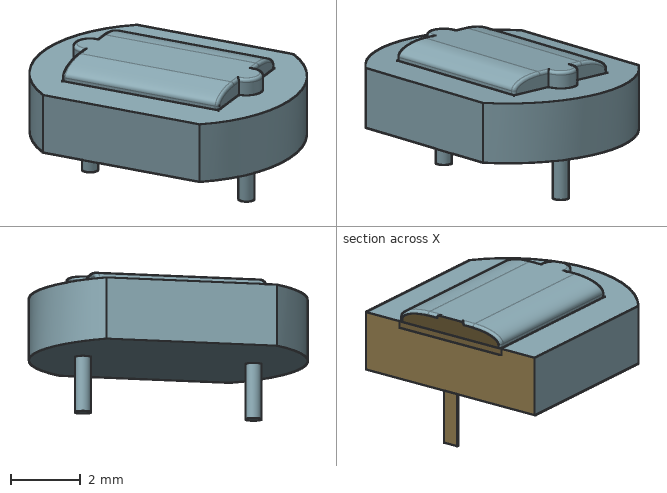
import cadquery as cq

housing_length = 8.0
housing_width = 6.0
housing_height = 1.78
flat_length = 5.0

cap_length = flat_length
cap_width = 3.6
cap_height = 0.5
crown_flat_width = 1.6
crown_drop = 0.39
lobe_radius = 0.475
cap_fillet = 0.1

seat_depth = 0.2

pin_diameter = 0.47
pin_length = 1.6
pin_spacing = flat_length

tolerance = 0.001

cap_top = housing_height + cap_height
seat_bottom = housing_height - seat_depth
pin_places = [(-pin_spacing / 2, 0), (pin_spacing / 2, 0)]


def lobes(bottom, top):
    """Round lobes centred on the two ends of the cap."""
    return (
        cq.Workplane("XY", origin=(0, 0, bottom))
        .pushPoints([(-cap_length / 2, 0), (cap_length / 2, 0)])
        .circle(lobe_radius)
        .extrude(top - bottom)
    )


def make_seat():
    bar = (
        cq.Workplane("XY", origin=(0, 0, seat_bottom))
        .rect(cap_length, cap_width)
        .extrude(seat_depth)
    )
    return bar.union(lobes(seat_bottom, housing_height))


def make_housing(seat):
    half_length = housing_length / 2
    half_width = housing_width / 2
    half_flat = flat_length / 2
    slab = (
        cq.Workplane("XY")
        .moveTo(-half_flat, -half_width)
        .lineTo(half_flat, -half_width)
        .threePointArc((half_length, 0), (half_flat, half_width))
        .lineTo(-half_flat, half_width)
        .threePointArc((-half_length, 0), (-half_flat, -half_width))
        .close()
        .extrude(housing_height)
    )
    return slab.cut(seat)


def is_cap_rim(edge):
    """True for the end edges to round: not the base, the long edges or the inner lobe corners."""
    middle = edge.Center()
    at_end = abs(middle.x) > cap_length / 2 - tolerance
    above_base = middle.z > housing_height + tolerance
    on_lobe = abs(middle.y) < lobe_radius + tolerance
    below_top = middle.z < cap_top - tolerance
    return at_end and above_base and not (on_lobe and below_top)


def make_cap():
    half_width = cap_width / 2
    half_flat = crown_flat_width / 2
    crown_run = half_width - half_flat
    shoulder = cap_top - crown_drop
    bar = (
        cq.Workplane("YZ", origin=(-cap_length / 2, 0, 0))
        .moveTo(-half_width, housing_height)
        .lineTo(half_width, housing_height)
        .lineTo(half_width, shoulder)
        .ellipseArc(crown_run, crown_drop, 0, 90, startAtCurrent=True)
        .lineTo(-half_flat, cap_top)
        .ellipseArc(crown_run, crown_drop, 90, 180, startAtCurrent=True)
        .close()
        .extrude(cap_length)
    )
    cap = bar.union(lobes(housing_height, cap_top))
    rim = cap.edges().filter(is_cap_rim)
    return cap.newObject(rim.vals()).fillet(cap_fillet)


def make_pins():
    return cq.Workplane("XY").pushPoints(pin_places).circle(pin_diameter / 2).extrude(-pin_length)


seat = make_seat()
housing = make_housing(seat)
cap = make_cap()
pins = make_pins()

result = cq.Compound.makeCompound([housing.val(), seat.val(), cap.val(), *pins.vals()])